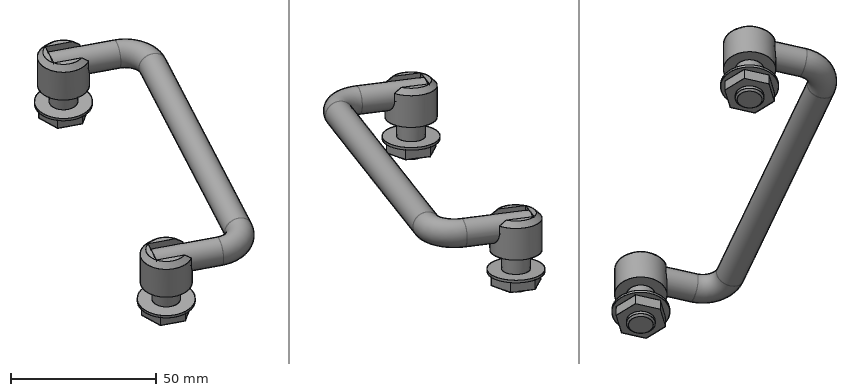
import cadquery as cq
import math

overall_length = 140.0
washer_diameter = 20.0
post_spacing = overall_length - washer_diameter
post_x = post_spacing / 2

bar_diameter = 10.0
bar_radius = bar_diameter / 2
bend_radius = 10.0
overall_depth = 44.1
overall_height = 28.0
bar_y = overall_depth - washer_diameter / 2 - bar_radius
bar_end_y = -5.0

head_diameter = 18.0
head_height = 13.9
head_chamfer = 2.0
bar_z = head_height - bar_radius

stud_diameter = 10.0
stud_length = overall_height - head_height
stud_chamfer = 0.7
washer_top_z = -7.1
washer_thickness = 1.0
washer_bottom_z = washer_top_z - washer_thickness
nut_across_flats = 15.5
nut_height = 4.2
hexagon_half_angle = 30
nut_across_corners = nut_across_flats / math.cos(math.radians(hexagon_half_angle))


def make_bar():
    """Sweep the round bar along its U-shaped centre line."""
    path = (
        cq.Workplane("XY", origin=(0, 0, bar_z))
        .moveTo(-post_x, bar_end_y)
        .lineTo(-post_x, bar_y - bend_radius)
        .tangentArcPoint((bend_radius, bend_radius))
        .lineTo(post_x - bend_radius, bar_y)
        .tangentArcPoint((bend_radius, -bend_radius))
        .lineTo(post_x, bar_end_y)
    )
    section = cq.Workplane("XZ", origin=(-post_x, bar_end_y, bar_z)).circle(bar_radius)
    return section.sweep(path)


def make_head():
    """Chamfered cylinder with a straight-sided slot above the bar axis."""
    head = cq.Workplane("XY").circle(head_diameter / 2).extrude(head_height)
    head = head.faces(">Z").chamfer(head_chamfer)
    slot_length = head_diameter / 2 - bar_end_y
    slot = (
        cq.Workplane("XY", origin=(0, bar_end_y, bar_z))
        .box(bar_diameter, slot_length, bar_radius, centered=(True, False, False))
    )
    return head.cut(slot)


def make_fastener():
    """Stud with a chamfered tip, carrying a washer and a hexagonal nut."""
    stud = cq.Workplane("XY").circle(stud_diameter / 2).extrude(-stud_length)
    stud = stud.faces("<Z").chamfer(stud_chamfer)
    washer = (
        cq.Workplane("XY", origin=(0, 0, washer_top_z))
        .circle(washer_diameter / 2)
        .extrude(-washer_thickness)
    )
    nut = (
        cq.Workplane("XY", origin=(0, 0, washer_bottom_z))
        .transformed(rotate=(0, 0, hexagon_half_angle))
        .polygon(6, nut_across_corners)
        .extrude(-nut_height)
    )
    return stud.union(washer).union(nut)


post = make_head().union(make_fastener())
result = make_bar()
for x in (-post_x, post_x):
    result = result.union(post.translate((x, 0, 0)))